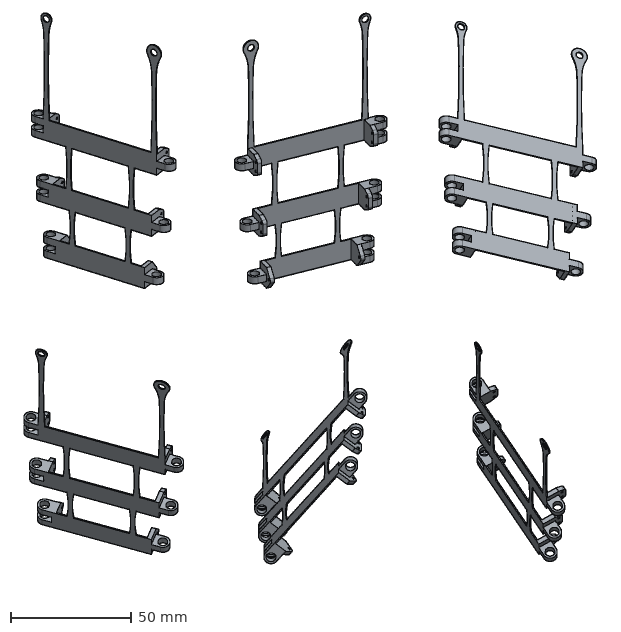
import cadquery as cq

TOTAL_HEIGHT = 117.5
PLATE_THICKNESS = 0.6
TOTAL_DEPTH = 9.5

BAR_HEIGHT = 10.0
LOWER_BAR_LENGTH = 58.0
MIDDLE_BAR_LENGTH = 65.0
UPPER_BAR_LENGTH = 70.0
LOWER_GAP = 16.0
UPPER_GAP = 20.0
MIDDLE_BAR_Z = BAR_HEIGHT + LOWER_GAP
UPPER_BAR_Z = MIDDLE_BAR_Z + BAR_HEIGHT + UPPER_GAP
UPPER_BAR_TOP = UPPER_BAR_Z + BAR_HEIGHT

KNUCKLE_DEPTH = 6.0
KNUCKLE_REACH = 7.0
KNUCKLE_LEVELS = 3
FORK_LEVELS = (0, 2)
TONGUE_LEVEL = 1
KNUCKLE_HEIGHT = BAR_HEIGHT / KNUCKLE_LEVELS
PIN_HOLE_DIAMETER = 4.0

FLANGE_THICKNESS = 2.0
FLANGE_NOSE_RADIUS = 1.8
CORD_HOLE_DIAMETER = 1.0
CORD_HOLE_SPACING = 4.5
CORD_HOLE_Y = TOTAL_DEPTH - FLANGE_NOSE_RADIUS

STRIP_END_WIDTH = 2.9
STRIP_WAIST_WIDTH = 1.8
LOWER_STRIP_X = 13.7
UPPER_STRIP_X = 15.4
ARM_X = UPPER_BAR_LENGTH / 2 - KNUCKLE_REACH - STRIP_END_WIDTH / 2

LEFT_EYE_RADIUS = 2.6
RIGHT_EYE_RADIUS = 3.5
EYE_HOLE_DIAMETER = 3.0
EYE_BLEND_RADIUS = 20.0
EYE_Z = TOTAL_HEIGHT - RIGHT_EYE_RADIUS


def box(x_start, x_end, depth, z_start, z_end):
    """Block reaching back from the front face."""
    size = (x_end - x_start, depth, z_end - z_start)
    return cq.Workplane("XY").box(*size, centered=False).translate((x_start, 0, z_start))


def cylinder_along_y(x, z, radius, depth):
    """Cylinder reaching back from the front face."""
    return cq.Workplane("XZ", origin=(x, 0, z)).circle(radius).extrude(-depth)


def knuckle(tip_x, root_x, z_start):
    """Hinge lug with a round end at tip_x and a vertical pin hole."""
    radius = KNUCKLE_DEPTH / 2
    inward = 1 if root_x > tip_x else -1
    eye_x = tip_x + inward * radius
    outline = (
        cq.Workplane("XY", origin=(0, 0, z_start))
        .moveTo(root_x, 0)
        .lineTo(eye_x, 0)
        .threePointArc((tip_x, radius), (eye_x, KNUCKLE_DEPTH))
        .lineTo(root_x, KNUCKLE_DEPTH)
        .close()
    )
    pin_hole = (
        cq.Workplane("XY", origin=(eye_x, radius, z_start))
        .circle(PIN_HOLE_DIAMETER / 2)
        .extrude(KNUCKLE_HEIGHT)
    )
    return outline.extrude(KNUCKLE_HEIGHT).cut(pin_hole)


def tangent_point(corner, centre, radius, side):
    """Point where a line from corner touches a circle, on the chosen side."""
    dy = corner[0] - centre[0]
    dz = corner[1] - centre[1]
    distance_squared = dy**2 + dz**2
    along = radius**2 / distance_squared
    across = side * radius * (distance_squared - radius**2) ** 0.5 / distance_squared
    return (centre[0] + along * dy - across * dz, centre[1] + along * dz + across * dy)


def flange(x_start, z_start, cord_hole_offset):
    """Upright plate tapering to a rounded nose, with cord holes along X."""
    z_middle = z_start + BAR_HEIGHT / 2
    z_end = z_start + BAR_HEIGHT
    low_hole = (CORD_HOLE_Y, z_middle - cord_hole_offset)
    high_hole = (CORD_HOLE_Y, z_middle + cord_hole_offset)
    low_corner = (KNUCKLE_DEPTH, z_start)
    high_corner = (KNUCKLE_DEPTH, z_end)
    low_touch = tangent_point(low_corner, low_hole, FLANGE_NOSE_RADIUS, 1)
    high_touch = tangent_point(high_corner, high_hole, FLANGE_NOSE_RADIUS, -1)
    low_nose = (TOTAL_DEPTH, low_hole[1])
    high_nose = (TOTAL_DEPTH, high_hole[1])

    outline = cq.Workplane("YZ", origin=(x_start, 0, 0)).moveTo(0, z_start).lineTo(*low_corner)
    outline = outline.lineTo(*low_touch)
    if cord_hole_offset > 0:
        outline = outline.tangentArcPoint(low_nose, relative=False).lineTo(*high_nose)
        outline = outline.tangentArcPoint(high_touch, relative=False)
    else:
        outline = outline.threePointArc(low_nose, high_touch)
    body = outline.lineTo(*high_corner).lineTo(0, z_end).close().extrude(FLANGE_THICKNESS)

    for hole in {low_hole, high_hole}:
        cord_hole = (
            cq.Workplane("YZ", origin=(x_start, 0, 0))
            .center(*hole)
            .circle(CORD_HOLE_DIAMETER / 2)
            .extrude(FLANGE_THICKNESS)
        )
        body = body.cut(cord_hole)
    return body


def hinged_bar(length, z_start, cord_hole_offset):
    """Flat bar with a flange at each end, a hinge fork on the left and a tongue on the right."""
    tip_x = length / 2
    body_x = tip_x - KNUCKLE_REACH
    bar = box(-body_x, body_x, PLATE_THICKNESS, z_start, z_start + BAR_HEIGHT)
    for flange_x in (-body_x, body_x - FLANGE_THICKNESS):
        bar = bar.union(flange(flange_x, z_start, cord_hole_offset))
    for level in FORK_LEVELS:
        bar = bar.union(knuckle(-tip_x, -body_x, z_start + level * KNUCKLE_HEIGHT))
    return bar.union(knuckle(tip_x, body_x, z_start + TONGUE_LEVEL * KNUCKLE_HEIGHT))


def waisted_strip(x, z_start, z_end):
    """Flat upright strip whose sides are shallow arcs, narrowest at mid height."""
    z_middle = (z_start + z_end) / 2
    left = x - STRIP_END_WIDTH / 2
    right = x + STRIP_END_WIDTH / 2
    return (
        cq.Workplane("XZ")
        .moveTo(left, z_start)
        .lineTo(right, z_start)
        .threePointArc((x + STRIP_WAIST_WIDTH / 2, z_middle), (right, z_end))
        .lineTo(left, z_end)
        .threePointArc((x - STRIP_WAIST_WIDTH / 2, z_middle), (left, z_start))
        .close()
        .extrude(-PLATE_THICKNESS)
    )


def eye_arm(x, eye_radius):
    """Strip rising from the upper bar and flaring smoothly into a round eye."""
    strip = waisted_strip(x, UPPER_BAR_TOP, EYE_Z)
    arm = strip.union(cylinder_along_y(x, EYE_Z, eye_radius, PLATE_THICKNESS))
    neck = cq.selectors.BoxSelector(
        (x - eye_radius, -PLATE_THICKNESS, EYE_Z - eye_radius),
        (x + eye_radius, 2 * PLATE_THICKNESS, EYE_Z - eye_radius / 2),
    )
    arm = arm.edges("|Y").edges(neck).fillet(EYE_BLEND_RADIUS)
    return arm.cut(cylinder_along_y(x, EYE_Z, EYE_HOLE_DIAMETER / 2, PLATE_THICKNESS))


result = hinged_bar(LOWER_BAR_LENGTH, 0, 0)
result = result.union(hinged_bar(MIDDLE_BAR_LENGTH, MIDDLE_BAR_Z, CORD_HOLE_SPACING / 2))
result = result.union(hinged_bar(UPPER_BAR_LENGTH, UPPER_BAR_Z, CORD_HOLE_SPACING / 2))

for side in (-1, 1):
    result = result.union(waisted_strip(side * LOWER_STRIP_X, BAR_HEIGHT, MIDDLE_BAR_Z))
    result = result.union(waisted_strip(side * UPPER_STRIP_X, MIDDLE_BAR_Z + BAR_HEIGHT, UPPER_BAR_Z))

result = result.union(eye_arm(-ARM_X, LEFT_EYE_RADIUS))
result = result.union(eye_arm(ARM_X, RIGHT_EYE_RADIUS))